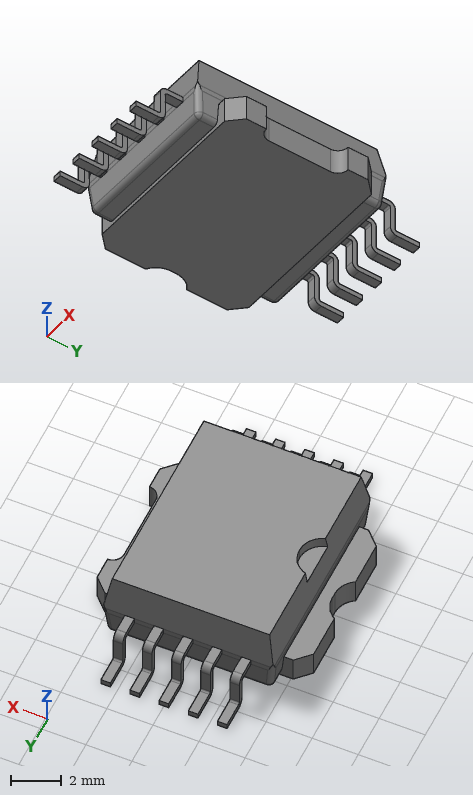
import cadquery as cq
import math

overall_length = 13.9
overall_width = 9.4
overall_height = 3.35

body_width = 7.41
body_length = 9.31
body_bottom = 0.21
upper_draft = 10.0
lower_draft = 5.5
body_radius = 0.25

lead_count = 5
lead_pitch = 1.26
lead_width = 0.42
lead_thickness = 0.25
lead_top = 1.71
lead_inner_radius = 0.08
lead_outer_radius = lead_inner_radius + lead_thickness
lead_knee = 5.77

plate_length = 7.2
plate_thickness = 1.21
plate_chamfer = 0.61
notch_depth = 0.5
left_notch_radius = 1.0
left_notch_flat = 0.28
right_notch_length = 4.0
right_notch_radius = 0.5

mark_length = 2.0
mark_width = 1.96
mark_depth = 0.5

band_top = lead_top
band_bottom = lead_top - lead_thickness


def make_body():
    """Moulded body: drafted above and below a straight band, with a rounded lower half."""
    upper = (
        cq.Workplane("XY").workplane(offset=band_top)
        .rect(body_width, body_length)
        .extrude(overall_height - band_top, taper=upper_draft)
    )
    straight = (
        cq.Workplane("XY").workplane(offset=body_bottom)
        .rect(body_width, body_length).extrude(band_top - body_bottom)
    )
    growth = 2 * (overall_height - band_bottom) * math.tan(math.radians(lower_draft))
    rounded_block = (
        cq.Workplane("XY").workplane(offset=overall_height)
        .rect(body_width + growth, body_length + growth)
        .extrude(body_bottom - overall_height, taper=lower_draft)
        .edges("not #Z").fillet(body_radius)
        .faces("<Z").edges().fillet(body_radius)
    )
    return upper.union(straight).intersect(rounded_block)


def make_pin_one_mark():
    """Nearly round recess in the top, centred on the -X edge of the body."""
    return (
        cq.Workplane("XY").workplane(offset=overall_height - mark_depth)
        .center(-body_width / 2, 0).slot2D(mark_length, mark_width, 90).extrude(mark_depth)
    )


def make_left_notch():
    """Notch with a short flat floor that runs into two large arcs."""
    edge_x = -overall_width / 2
    floor_x = edge_x + notch_depth
    centre_x = floor_x - left_notch_radius
    half_flat = left_notch_flat / 2
    half_mouth = half_flat + math.sqrt(left_notch_radius**2 - (edge_x - centre_x) ** 2)
    mid_angle = math.acos((edge_x - centre_x) / left_notch_radius) / 2
    mid_x = centre_x + left_notch_radius * math.cos(mid_angle)
    mid_y = half_flat + left_notch_radius * math.sin(mid_angle)
    return (
        cq.Workplane("XY").moveTo(edge_x, -half_mouth)
        .threePointArc((mid_x, -mid_y), (floor_x, -half_flat))
        .lineTo(floor_x, half_flat)
        .threePointArc((mid_x, mid_y), (edge_x, half_mouth))
        .close().extrude(plate_thickness)
    )


def make_right_notch():
    """Long notch with rounded inner corners."""
    return (
        cq.Workplane("XY").center(overall_width / 2, 0)
        .rect(2 * notch_depth, right_notch_length).extrude(plate_thickness)
        .edges("|Z and <X").fillet(right_notch_radius)
    )


def make_plate():
    plate = (
        cq.Workplane("XY").rect(overall_width, plate_length).extrude(plate_thickness)
        .edges("|Z").chamfer(plate_chamfer)
    )
    return plate.cut(make_left_notch()).cut(make_right_notch())


def make_lead():
    """Gull-wing lead on the +Y side, centred on X = 0."""
    root_y = body_length / 2 - body_radius
    tip_y = overall_length / 2
    knee_inner = lead_knee - lead_thickness
    lead = (
        cq.Workplane("YZ").workplane(offset=-lead_width / 2)
        .moveTo(root_y, lead_top)
        .lineTo(lead_knee, lead_top)
        .lineTo(lead_knee, lead_thickness)
        .lineTo(tip_y, lead_thickness)
        .lineTo(tip_y, 0)
        .lineTo(knee_inner, 0)
        .lineTo(knee_inner, band_bottom)
        .lineTo(root_y, band_bottom)
        .close().extrude(lead_width)
    )
    outer_bends = [(lead_knee, lead_top), (knee_inner, 0)]
    inner_bends = [(lead_knee, lead_thickness), (knee_inner, band_bottom)]
    for bends, radius in ((outer_bends, lead_outer_radius), (inner_bends, lead_inner_radius)):
        for y, z in bends:
            lead = lead.edges(cq.selectors.NearestToPointSelector((0, y, z))).fillet(radius)
    return lead


result = make_body().cut(make_pin_one_mark()).union(make_plate())
lead = make_lead()
for index in range(lead_count):
    lead_x = (index - (lead_count - 1) / 2) * lead_pitch
    placed = lead.translate((lead_x, 0, 0))
    result = result.union(placed).union(placed.mirror("XZ"))